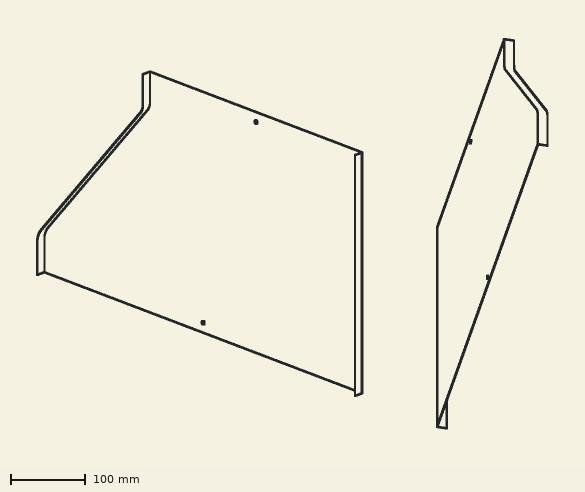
import cadquery as cq

length = 602.0
height = 348.0
depth = 14.0
sheet = 0.8

step_x = 200.0
lower_corner_z = 58.5
upper_corner_z = height - 51.0
lower_bend_radius = 33.0
upper_bend_radius = 18.5

hole_diameter = 5.0
hole_edge_distance = 14.5


def solid_blank():
    """Full-depth block with the panel outline and rounded slant corners."""
    outline = [
        (0, 0),
        (length, 0),
        (length, height),
        (step_x, height),
        (step_x, upper_corner_z),
        (0, lower_corner_z),
    ]
    blank = cq.Workplane("XZ").polyline(outline).close().extrude(depth)
    blank = round_corner(blank, 0, lower_corner_z, lower_bend_radius)
    return round_corner(blank, step_x, upper_corner_z, upper_bend_radius)


def round_corner(body, x, z, radius):
    """Fillet the Y-direction edge passing through (x, z)."""
    corner = cq.selectors.NearestToPointSelector((x, -depth / 2, z))
    return body.edges("|Y").edges(corner).fillet(radius)


def folded_panel():
    """Thin back panel with flanges on the left and right edges; top and bottom open."""
    return solid_blank().faces("<Y or >Z or <Z").shell(-sheet)


def hole_cutters():
    """One hole midway along the bottom edge and one midway along the top edge."""
    centres = [
        (length / 2, hole_edge_distance),
        ((step_x + length) / 2, height - hole_edge_distance),
    ]
    return cq.Workplane("XZ").pushPoints(centres).circle(hole_diameter / 2).extrude(depth)


result = folded_panel().cut(hole_cutters())